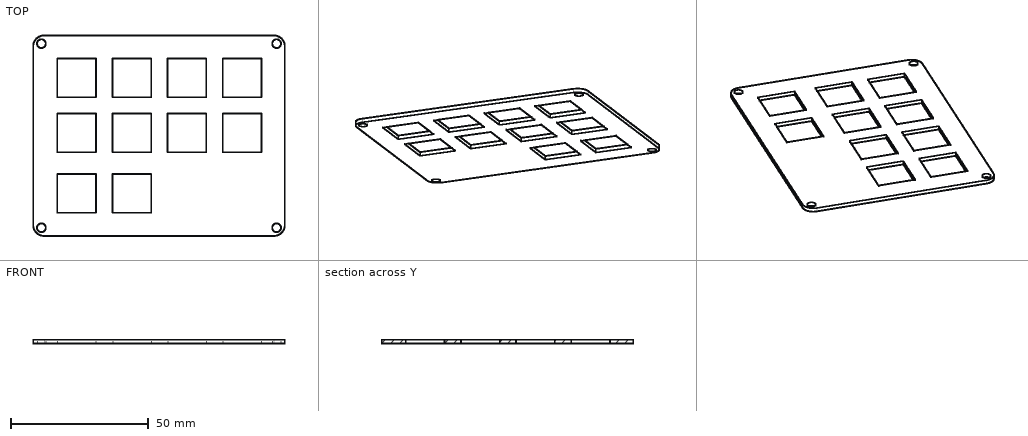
import cadquery as cq

length = 91.25
width = 72.7
thickness = 1.5
corner_radius = 4.0

hole_diameter = 3.1
hole_inset = 3.0

cutout_size = 14.0
key_pitch = 20.0
first_column_x = -29.8
key_rows = [(21.0, 4), (1.0, 4), (-20.9, 2)]


def make_plate():
    plate = cq.Workplane("XY").box(length, width, thickness)
    return plate.edges("|Z").fillet(corner_radius)


def cut_screw_holes(plate):
    return (
        plate.faces(">Z")
        .workplane()
        .rect(length - 2 * hole_inset, width - 2 * hole_inset, forConstruction=True)
        .vertices()
        .hole(hole_diameter)
    )


def cut_key_openings(plate):
    centres = [
        (first_column_x + column * key_pitch, row_y)
        for row_y, key_count in key_rows
        for column in range(key_count)
    ]
    return (
        plate.faces(">Z")
        .workplane()
        .pushPoints(centres)
        .rect(cutout_size, cutout_size)
        .cutThruAll()
    )


result = cut_key_openings(cut_screw_holes(make_plate()))